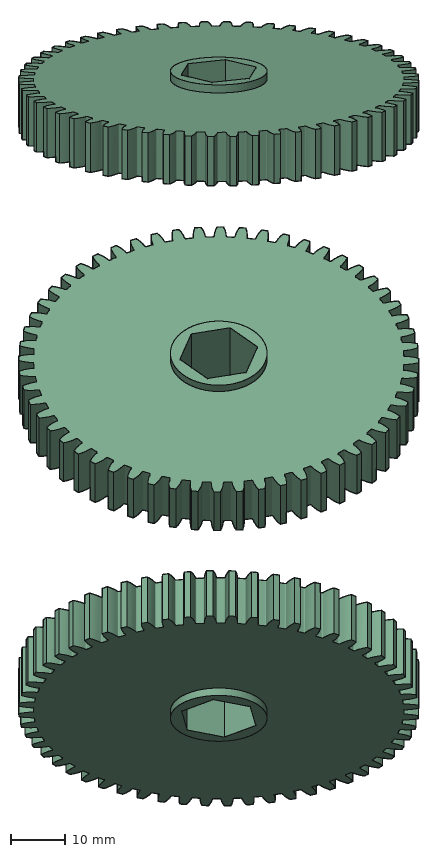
import cadquery as cq
import math

tooth_count = 56
tip_diameter = 73.7
pressure_angle = math.radians(14.5)
flank_clearance = 0.02
root_diameter = 68.15
root_fillet = 0.2
face_width = 9.5
hub_diameter = 17.8
hub_length = 12.6
hex_across_flats = 12.7

module = tip_diameter / (tooth_count + 2)
tip_radius = tip_diameter / 2
pitch_radius = module * tooth_count / 2
base_radius = pitch_radius * math.cos(pressure_angle)
root_radius = root_diameter / 2
tooth_pitch = 2 * math.pi / tooth_count


def involute_angle(radius):
    """Polar angle swept by the involute between the base circle and a radius."""
    local_pressure_angle = math.acos(base_radius / radius)
    return math.tan(local_pressure_angle) - local_pressure_angle


def polar(radius, angle):
    """XY point at a radius and an angle from +X."""
    return (radius * math.cos(angle), radius * math.sin(angle))


def gap_half_angle(radius):
    """Half the angle of a tooth gap at a radius between the base and tip circles."""
    pitch_circle_half = tooth_pitch / 4 + flank_clearance / pitch_radius
    return pitch_circle_half + involute_angle(radius) - involute_angle(pitch_radius)


def make_tooth_gap():
    """Cutter for one gap centred on +X, with an arc close to the involute as each flank."""
    root_half_angle = gap_half_angle(base_radius)
    tip_half_angle = gap_half_angle(tip_radius)
    pitch_half_angle = gap_half_angle(pitch_radius)
    outer_radius = tip_radius + module
    cutter = (
        cq.Workplane("XY")
        .workplane(offset=-face_width / 2)
        .moveTo(*polar(root_radius, -root_half_angle))
        .threePointArc((root_radius, 0), polar(root_radius, root_half_angle))
        .threePointArc(polar(pitch_radius, pitch_half_angle), polar(tip_radius, tip_half_angle))
        .lineTo(*polar(outer_radius, tip_half_angle))
        .lineTo(*polar(outer_radius, -tip_half_angle))
        .lineTo(*polar(tip_radius, -tip_half_angle))
        .threePointArc(polar(pitch_radius, -pitch_half_angle), polar(root_radius, -root_half_angle))
        .close()
        .extrude(face_width)
    )
    return cutter.edges("|Z").edges("<X").fillet(root_fillet)


def make_gear_body():
    """Toothed disc with a gap centred on each of the X and Y axes."""
    blank = cq.Workplane("XY").circle(tip_radius).extrude(face_width / 2, both=True)
    gaps = cq.Workplane("XY").polarArray(0, 0, 360, tooth_count).eachpoint(make_tooth_gap().val(), True)
    return blank.cut(gaps)


def make_hub():
    return cq.Workplane("XY").circle(hub_diameter / 2).extrude(hub_length / 2, both=True)


def make_hex_bore():
    """Through bore with two flats facing +X and -X."""
    across_corners = hex_across_flats / math.cos(math.pi / 6)
    return (
        cq.Workplane("XY")
        .transformed(rotate=(0, 0, 30))
        .polygon(6, across_corners)
        .extrude(hub_length / 2, both=True)
    )


result = make_gear_body().union(make_hub()).cut(make_hex_bore())